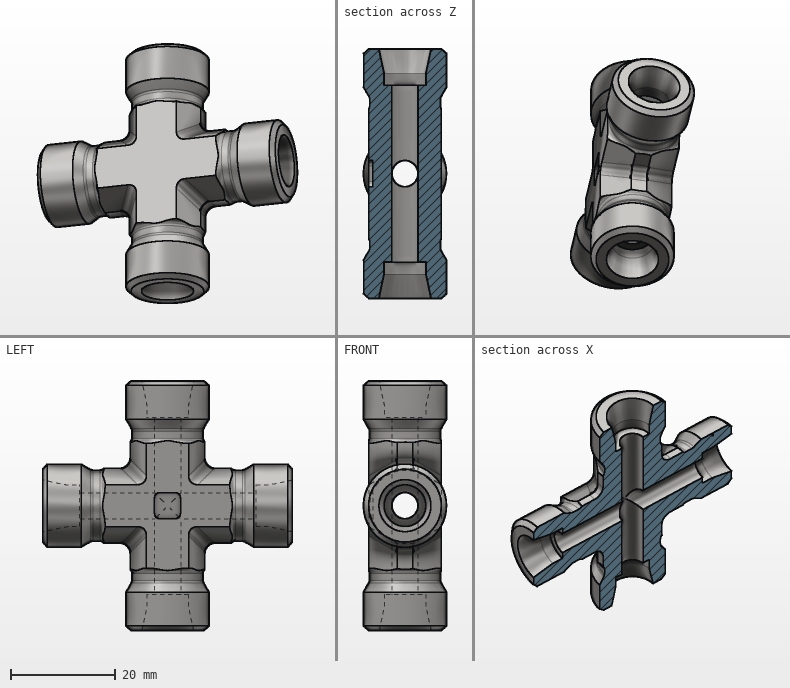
import cadquery as cq
import math


END_REACH = 24.0
THREAD_RADIUS = 8.0

BODY_HALF_WIDTH = 7.0
CREST_HALF_HEIGHT = 7.2
HEX_SLOPE = math.tan(math.radians(30))
HEX_CORNER_RADIUS = 2 * BODY_HALF_WIDTH / math.sqrt(3)
SIDE_HALF_HEIGHT = HEX_CORNER_RADIUS / 2
CREST_HALF_WIDTH = (HEX_CORNER_RADIUS - CREST_HALF_HEIGHT) / HEX_SLOPE
CROTCH_RADIUS = 2.0

END_CHAMFER_RADIAL = 1.0
END_CHAMFER_AXIAL = 0.9
THREAD_START = 16.6
NECK_RADIUS = 13.7 / 2
NECK_FILLET = 1.0
NECK_CONE_ANGLE = 30.0
SHOULDER_HEIGHT = 12.0
SHOULDER_CUT_RADIUS = 9.5
NECK_START = SHOULDER_HEIGHT + NECK_FILLET
THREAD_ROOT = 11.0

BORE_RADIUS = 2.5
TUBE_RADIUS = 4.0
TUBE_SEAT_DEPTH = 7.0
MOUTH_RADIUS = 5.0
MOUTH_HALF_ANGLE = 12.0

RECESS_SIZE = 5.0
RECESS_CORNER_RADIUS = 1.0
RECESS_DEPTH = 0.8

TOLERANCE = 1e-4
ARM_ANGLES = (0, 90, 180, 270)


def on_every_arm(solid):
    """Copies of a +Z arm feature, one for each arm."""
    return [solid.rotate((0, 0, 0), (1, 0, 0), angle) for angle in ARM_ANGLES]


def revolve_about_z(profile):
    """Turn a closed profile, drawn as (radius, z) in the XZ plane, about Z."""
    return profile.close().revolve(360, (0, 0, 0), (0, 1, 0))


def body_prism():
    """Double-ended prism along Z with the crest-cut hexagonal section."""
    quarter = [(BODY_HALF_WIDTH, SIDE_HALF_HEIGHT), (CREST_HALF_WIDTH, CREST_HALF_HEIGHT)]
    upper = quarter + [(-x, y) for x, y in reversed(quarter)]
    lower = [(-x, -y) for x, y in upper]
    return (
        cq.Workplane("XY")
        .polyline(upper + lower)
        .close()
        .extrude(NECK_START, both=True)
    )


def crossed_body():
    """The two prisms joined, with every edge between neighbouring arms filleted."""
    vertical = body_prism()
    horizontal = vertical.rotate((0, 0, 0), (1, 0, 0), 90)
    body = vertical.union(horizontal)

    def is_crotch(edge):
        middle = edge.Center()
        on_diagonal = abs(abs(middle.y) - abs(middle.z)) < TOLERANCE
        return on_diagonal and abs(middle.y) > SIDE_HALF_HEIGHT + TOLERANCE

    edges = [edge for edge in body.edges().vals() if is_crotch(edge)]
    return body.newObject(edges).fillet(CROTCH_RADIUS)


def shoulder_cutter():
    """Ring that cuts the end of the +Z arm to a flat shoulder with a filleted neck root."""
    profile = (
        cq.Workplane("XZ")
        .moveTo(NECK_RADIUS, NECK_START)
        .radiusArc((NECK_RADIUS + NECK_FILLET, SHOULDER_HEIGHT), -NECK_FILLET)
        .lineTo(SHOULDER_CUT_RADIUS, SHOULDER_HEIGHT)
        .lineTo(SHOULDER_CUT_RADIUS, NECK_START)
    )
    return revolve_about_z(profile)


def threaded_end():
    """Neck, run-out cone, thread cylinder and end chamfer of the +Z arm."""
    cone_angle = math.radians(NECK_CONE_ANGLE)
    sharp_corner = THREAD_START - (THREAD_RADIUS - NECK_RADIUS) / math.tan(cone_angle)
    neck_end = sharp_corner - NECK_FILLET * math.tan(cone_angle / 2)
    cone_start_radius = NECK_RADIUS + NECK_FILLET * (1 - math.cos(cone_angle))
    cone_start = neck_end + NECK_FILLET * math.sin(cone_angle)
    profile = (
        cq.Workplane("XZ")
        .moveTo(0, THREAD_ROOT)
        .lineTo(NECK_RADIUS, THREAD_ROOT)
        .lineTo(NECK_RADIUS, neck_end)
        .radiusArc((cone_start_radius, cone_start), NECK_FILLET)
        .lineTo(THREAD_RADIUS, THREAD_START)
        .lineTo(THREAD_RADIUS, END_REACH - END_CHAMFER_AXIAL)
        .lineTo(THREAD_RADIUS - END_CHAMFER_RADIAL, END_REACH)
        .lineTo(0, END_REACH)
    )
    return revolve_about_z(profile)


def arm_bore():
    """Stepped bore of the +Z arm: conical mouth, tube seat and flow passage."""
    mouth_depth = (MOUTH_RADIUS - TUBE_RADIUS) / math.tan(math.radians(MOUTH_HALF_ANGLE))
    seat_z = END_REACH - TUBE_SEAT_DEPTH
    profile = (
        cq.Workplane("XZ")
        .moveTo(0, 0)
        .lineTo(BORE_RADIUS, 0)
        .lineTo(BORE_RADIUS, seat_z)
        .lineTo(TUBE_RADIUS, seat_z)
        .lineTo(TUBE_RADIUS, END_REACH - mouth_depth)
        .lineTo(MOUTH_RADIUS, END_REACH)
        .lineTo(0, END_REACH)
    )
    return revolve_about_z(profile)


def face_recess():
    """Shallow round-cornered square pocket in the middle of the -X face."""
    return (
        cq.Workplane("YZ", origin=(-BODY_HALF_WIDTH, 0, 0))
        .rect(RECESS_SIZE, RECESS_SIZE)
        .extrude(RECESS_DEPTH)
        .edges("|X")
        .fillet(RECESS_CORNER_RADIUS)
    )


result = crossed_body()
for cutter in on_every_arm(shoulder_cutter()):
    result = result.cut(cutter)
for end in on_every_arm(threaded_end()):
    result = result.union(end)
for bore in on_every_arm(arm_bore()):
    result = result.cut(bore)
result = result.cut(face_recess())